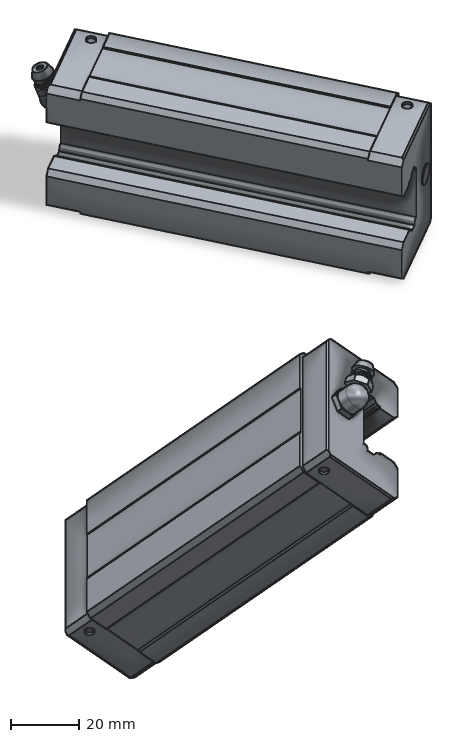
import cadquery as cq
import math


total_length = 120.6
width = 48.0
height = 30.2
body_length = 108.9
block_length = 88.2
cap_length = (body_length - block_length) / 2
block_chamfer = 1.6

relief_depth = 0.3
back_relief_width = 17.6
side_relief_low = 8.3
side_relief_high = 22.2
side_relief_slope_low = 0.7
side_relief_slope_high = 0.4

cap_side_inset = 0.4
cap_back_inset = 1.1
cap_chamfer_height = 2.2
cap_chamfer_width = 1.8
cap_back_chamfer = 1.5
cap_width = width - 2 * cap_side_inset
cap_height = height - cap_back_inset
end_bevel_length = 0.6
end_bevel_drop = 0.4

port_diameter = 3.1
port_depth = 1.0
port_from_end = 6.0
port_height = 24.6

slot_depth = 14.1
slot_half_opening = 8.9
slot_half_floor = 9.6
slot_chamfer = 1.7
lip_height = 7.4
ball_groove_half_width = 11.5
ball_groove_low = 10.0
ball_groove_high = 12.4
ledge_radius = 1.2
shoulder_height = 8.3
groove_break_height = 9.0
groove_break_half_width = 10.1

port_axis_height = 22.7
plug_diameter = 6.5
plug_thickness = 0.4

base_hex_flats = 8.2
base_hex_length = 1.8
elbow_radius = 4.0
stem_tilt = 21.5

stem_hex_flats = 7.2
stem_hex_start = 3.3
stem_hex_end = 5.9
stem_hex_bevel = 0.9
stem_bevel_radius = 3.4
waist_radius = 2.9
collar_start = 6.8
collar_end = 7.4
collar_radius = 3.1
neck_radius = 2.2
head_start = 8.7
head_base_radius = 3.4
head_tip_radius = 2.4
check_hole_radius = 1.03
check_ball_gap = 0.1

stem_tilt_radians = math.radians(stem_tilt)
head_end = head_start + (head_base_radius - head_tip_radius) / math.tan(stem_tilt_radians)
stem_reach = head_end * math.sin(stem_tilt_radians) + head_tip_radius * math.cos(stem_tilt_radians)
elbow_offset = total_length - body_length - plug_thickness - stem_reach


def corner_diameter(flats):
    """Diameter across the corners of a hexagon, from its width across flats."""
    return flats / math.cos(math.radians(30))


def make_block():
    block = cq.Workplane("XY").box(block_length, height, width, centered=(True, False, True))
    block = block.edges("|X").chamfer(block_chamfer)

    back_relief = cq.Workplane("XY").box(block_length, 2 * relief_depth, back_relief_width)
    block = block.cut(back_relief.translate((0, height, 0)))

    side = width / 2
    side_relief = (
        cq.Workplane("YZ", origin=(-block_length / 2, 0, 0))
        .moveTo(side_relief_low, side)
        .lineTo(side_relief_low + side_relief_slope_low, side - relief_depth)
        .lineTo(side_relief_high - side_relief_slope_high, side - relief_depth)
        .lineTo(side_relief_high, side)
        .close()
        .extrude(block_length)
    )
    return block.cut(side_relief).cut(side_relief.mirror("XY"))


def make_far_cap():
    side = cap_width / 2
    half_outline = [
        (0, side - cap_chamfer_width),
        (cap_chamfer_height, side),
        (cap_height - cap_back_chamfer, side),
        (cap_height, side - cap_chamfer_width),
    ]
    mirrored = [(y, -z) for y, z in reversed(half_outline)]
    cap = (
        cq.Workplane("YZ", origin=(block_length / 2, 0, 0))
        .polyline(half_outline + mirrored)
        .close()
        .extrude(cap_length)
    )

    end = body_length / 2
    start = end - end_bevel_length
    side_bevel = (
        cq.Workplane("XZ")
        .polyline([(start, side), (end, side), (end, side - end_bevel_drop)])
        .close()
        .extrude(-height)
    )
    back_bevel = (
        cq.Workplane("XY")
        .polyline([(start, cap_height), (end, cap_height), (end, cap_height - end_bevel_drop)])
        .close()
        .extrude(width / 2, both=True)
    )
    cap = cap.cut(side_bevel).cut(side_bevel.mirror("XY")).cut(back_bevel)

    port = (
        cq.Workplane("XY", origin=(end - port_from_end, port_height, side - port_depth))
        .circle(port_diameter / 2)
        .extrude(port_depth)
    )
    return cap.cut(port).cut(port.mirror("XY"))


def make_half_slot():
    """Half of the rail slot on the +Z side, with its ball groove."""
    ledge_centre = (ball_groove_high + ledge_radius, slot_half_floor + ledge_radius)
    ledge_mid_offset = ledge_radius * math.sqrt(0.5)
    return (
        cq.Workplane("YZ", origin=(-body_length / 2, 0, 0))
        .moveTo(0, 0)
        .lineTo(0, slot_half_opening + slot_chamfer)
        .lineTo(slot_chamfer, slot_half_opening)
        .lineTo(lip_height, slot_half_opening)
        .lineTo(lip_height, slot_half_floor)
        .lineTo(shoulder_height, slot_half_floor)
        .lineTo(groove_break_height, groove_break_half_width)
        .lineTo(ball_groove_low, ball_groove_half_width)
        .lineTo(ball_groove_high, ball_groove_half_width)
        .lineTo(ball_groove_high, ledge_centre[1])
        .threePointArc(
            (ledge_centre[0] - ledge_mid_offset, ledge_centre[1] - ledge_mid_offset),
            (ledge_centre[0], slot_half_floor),
        )
        .lineTo(slot_depth, slot_half_floor)
        .lineTo(slot_depth, 0)
        .close()
        .extrude(body_length)
    )


def make_stem():
    """Upright nipple along +Z, with the centre of the elbow ball at the origin.

    A check ball stands in the hole at the tip, its dome just below the rim.
    """
    ball_top = head_end - check_ball_gap
    ball_middle = ball_top - check_hole_radius
    ball_diagonal = check_hole_radius * math.sqrt(0.5)
    hex_corner_radius = corner_diameter(stem_hex_flats) / 2

    turned = (
        cq.Workplane("XZ")
        .moveTo(0, 0)
        .lineTo(neck_radius, 0)
        .lineTo(neck_radius, stem_hex_start)
        .lineTo(waist_radius, stem_hex_start)
        .lineTo(waist_radius, collar_start)
        .lineTo(collar_radius, collar_start)
        .lineTo(collar_radius, collar_end)
        .lineTo(neck_radius, collar_end)
        .lineTo(neck_radius, head_start)
        .lineTo(head_base_radius, head_start)
        .lineTo(head_tip_radius, head_end)
        .lineTo(check_hole_radius, head_end)
        .lineTo(check_hole_radius, ball_middle)
        .threePointArc((ball_diagonal, ball_middle + ball_diagonal), (0, ball_top))
        .close()
        .revolve(360, (0, 0, 0), (0, 1, 0))
    )
    hexagon = (
        cq.Workplane("XY", origin=(0, 0, stem_hex_start))
        .polygon(6, 2 * hex_corner_radius)
        .extrude(stem_hex_end - stem_hex_start)
    )
    hex_envelope = (
        cq.Workplane("XZ")
        .moveTo(0, 0)
        .lineTo(hex_corner_radius, 0)
        .lineTo(hex_corner_radius, stem_hex_end - stem_hex_bevel)
        .lineTo(stem_bevel_radius, stem_hex_end)
        .lineTo(0, stem_hex_end)
        .close()
        .revolve(360, (0, 0, 0), (0, 1, 0))
    )
    return turned.union(hexagon.intersect(hex_envelope))


def make_fitting():
    """Grease fitting pointing to -X from the near end cap."""
    face = -body_length / 2
    base = (
        cq.Workplane("YZ", origin=(face, port_axis_height, 0))
        .polygon(6, corner_diameter(base_hex_flats))
        .extrude(-base_hex_length)
    )
    ball_x = face - elbow_offset
    elbow = (
        cq.Workplane("XY", origin=(0, port_axis_height, 0))
        .moveTo(face, 0)
        .lineTo(face, elbow_radius)
        .lineTo(ball_x, elbow_radius)
        .threePointArc(
            (ball_x - elbow_radius * math.sqrt(0.5), elbow_radius * math.sqrt(0.5)),
            (ball_x - elbow_radius, 0),
        )
        .close()
        .revolve(360, (0, 0, 0), (1, 0, 0))
    )
    stem = make_stem().rotate((0, 0, 0), (0, 1, 0), -stem_tilt).translate((ball_x, port_axis_height, 0))
    return base.union(elbow).union(stem)


far_cap = make_far_cap()
half_slot = make_half_slot()
plug = (
    cq.Workplane("YZ", origin=(body_length / 2, port_axis_height, 0))
    .circle(plug_diameter / 2)
    .extrude(plug_thickness)
)

result = (
    make_block()
    .union(far_cap)
    .union(far_cap.mirror("YZ"))
    .cut(half_slot)
    .cut(half_slot.mirror("XY"))
    .union(plug)
    .union(make_fitting())
)